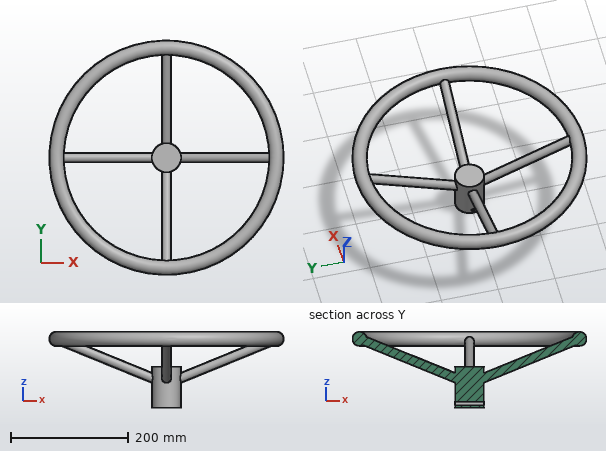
import cadquery as cq
import math

rim_outer_diameter = 400.0
rim_inner_diameter = 350.0
rim_tube_radius = (rim_outer_diameter - rim_inner_diameter) / 4
rim_center_radius = (rim_outer_diameter + rim_inner_diameter) / 4

hub_diameter = 50.0
hub_height = 70.0

overall_height = 130.0
rim_center_height = overall_height - rim_tube_radius

spoke_count = 4
spoke_diameter = 16.0
spoke_slope_angle = 22.2

pin_hole_diameter = 5.0
pin_hole_height = 7.5


def make_rim():
    center = cq.Vector(0, 0, rim_center_height)
    return cq.Workplane(cq.Solid.makeTorus(rim_center_radius, rim_tube_radius, center))


def make_hub():
    return cq.Workplane("XY").circle(hub_diameter / 2).extrude(hub_height)


def make_spoke(turn_angle):
    """Bar from the hub axis up to the rim center line, turned about Z."""
    slope = math.radians(spoke_slope_angle)
    length = rim_center_radius / math.cos(slope)
    start_height = rim_center_height - rim_center_radius * math.tan(slope)
    direction = (math.cos(slope), 0, math.sin(slope))
    start_plane = cq.Plane(origin=(0, 0, start_height), xDir=(0, 1, 0), normal=direction)
    bar = cq.Workplane(start_plane).circle(spoke_diameter / 2).extrude(length)
    return bar.rotate((0, 0, 0), (0, 0, 1), turn_angle)


def make_pin_hole():
    return (
        cq.Workplane("YZ")
        .center(0, pin_hole_height)
        .circle(pin_hole_diameter / 2)
        .extrude(hub_diameter, both=True)
    )


result = make_hub()
for index in range(spoke_count):
    result = result.union(make_spoke(index * 360 / spoke_count))
result = result.cut(make_pin_hole())
result = result.union(make_rim(), clean=False)